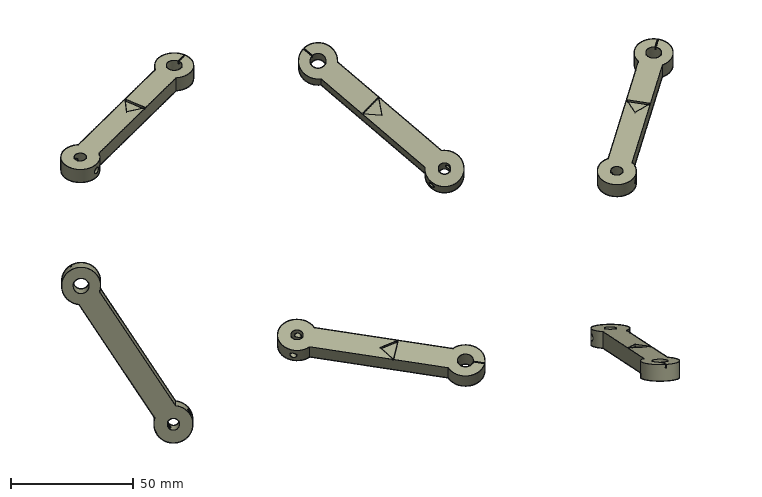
import cadquery as cq

length = 86.0
head_diameter = 16.0
thickness = 7.0
arm_width = 10.1

clamp_bore_diameter = 6.45
pivot_bore_diameter = 5.0
cross_hole_diameter = 2.8

groove_width = 0.4
groove_depth = 1.5

arrow_width = 9.2
arrow_shoulder = 0.5
arrow_length = 6.45
arrow_base_y = 6.0
arrow_depth = 1.0

head_y = (length - head_diameter) / 2
top_z = thickness / 2


def cylinder_along_z(y, diameter):
    """Full-thickness upright cylinder centred at the given Y."""
    return (
        cq.Workplane("XY", origin=(0, y, -top_z))
        .circle(diameter / 2)
        .extrude(thickness)
    )


body = cq.Workplane("XY").box(arm_width, 2 * head_y, thickness)
for y in (-head_y, head_y):
    body = body.union(cylinder_along_z(y, head_diameter))

body = body.cut(cylinder_along_z(head_y, clamp_bore_diameter))
body = body.cut(cylinder_along_z(-head_y, pivot_bore_diameter))

cross_hole = (
    cq.Workplane("YZ", origin=(-head_diameter / 2, -head_y, 0))
    .circle(cross_hole_diameter / 2)
    .extrude(head_diameter)
)
body = body.cut(cross_hole)

groove = cq.Workplane("XY").box(
    groove_width, head_diameter / 2, groove_depth, centered=(True, False, False)
).translate((0, head_y, top_z - groove_depth))
body = body.cut(groove)

arrow_outline = [
    (-arrow_width / 2, 0),
    (arrow_width / 2, 0),
    (arrow_width / 2, -arrow_shoulder),
    (0, -arrow_length),
    (-arrow_width / 2, -arrow_shoulder),
]
arrow = (
    cq.Workplane("XY", origin=(0, arrow_base_y, top_z - arrow_depth))
    .polyline(arrow_outline)
    .close()
    .extrude(arrow_depth)
)
result = body.cut(arrow)